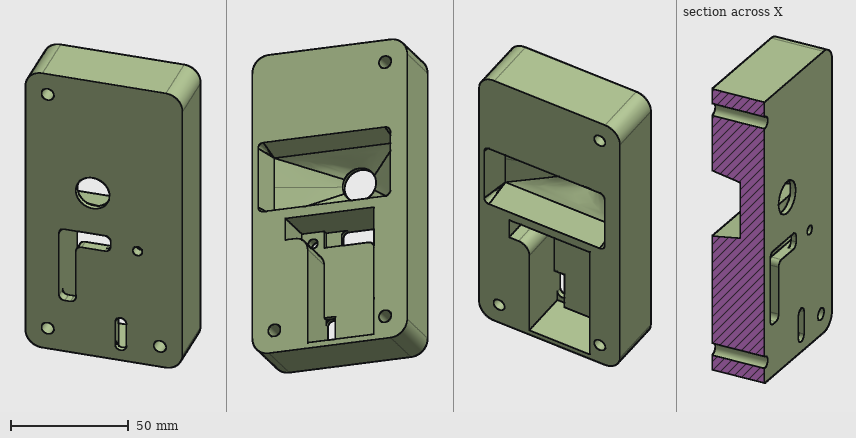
import cadquery as cq

WIDTH = 70.0
DEPTH = 25.4
HEIGHT = 135.0
CORNER_RADIUS = 7.5
FRONT_Y = -DEPTH / 2
BACK_Y = DEPTH / 2

SCREW_DIAMETER = 5.5
SCREW_X = 25.0
SCREW_Z = 57.5
PIN_DIAMETER = 4.2
PIN_CENTRE = (15.0, -12.5)

LIP_DEPTH = 2.5
LIP_BACK_Y = FRONT_Y + LIP_DEPTH

WINDOW_DIAMETER = 15.0
WINDOW_X = -5.0
WINDOW_Z = 12.5
FLARE_END_Y = FRONT_Y + 12.0
FLARE_WIDTH = 55.0
FLARE_CENTRE_X = 2.5
FLARE_HEIGHT = 26.5
FLARE_DRAFT = 10.0

L_LEFT = -20.0
L_TOP = -7.5
L_ARM_LENGTH = 23.0
L_LEG_LENGTH = 35.0
L_ARM_WIDTH = 7.5
L_CORNER_RADIUS = 2.5

SLOT_X = 7.5
SLOT_Z = -54.6
SLOT_WIDTH = 5.0
SLOT_LENGTH = 15.8

PLATE_THICKNESS = 5.0
POCKET_RIGHT = SLOT_X + SLOT_WIDTH / 2
POCKET_FLOOR = -65.0
UPPER_RIGHT = 20.0
LEDGE_Z = -17.2
LEDGE_RADIUS = 5.5


def plane_at(y, x=0.0, z=0.0):
    """Sketch plane at depth y with local axes +X and +Z; negative extrusions run toward +Y."""
    return cq.Workplane("XZ", origin=(x, y, z))


def to_back(sketch, start_y):
    """Extrude a closed sketch from start_y through the back face."""
    return sketch.extrude(start_y - BACK_Y)


def make_block():
    block = cq.Workplane("XY").box(WIDTH, DEPTH, HEIGHT)
    return block.edges("|Y").fillet(CORNER_RADIUS)


def round_holes():
    screw_centres = [(-SCREW_X, SCREW_Z), (-SCREW_X, -SCREW_Z), (SCREW_X, -SCREW_Z)]
    screws = to_back(plane_at(FRONT_Y).pushPoints(screw_centres).circle(SCREW_DIAMETER / 2), FRONT_Y)
    pin = to_back(plane_at(FRONT_Y).pushPoints([PIN_CENTRE]).circle(PIN_DIAMETER / 2), FRONT_Y)
    return screws.union(pin)


def window():
    centre = plane_at(FRONT_Y, WINDOW_X, WINDOW_Z)
    bore = to_back(centre.circle(WINDOW_DIAMETER / 2), FRONT_Y)
    flare = (
        plane_at(LIP_BACK_Y, WINDOW_X, WINDOW_Z)
        .circle(WINDOW_DIAMETER / 2)
        .workplane(offset=LIP_BACK_Y - FLARE_END_Y)
        .center(FLARE_CENTRE_X - WINDOW_X, 0)
        .rect(FLARE_WIDTH, FLARE_HEIGHT)
        .loft(ruled=True)
    )
    drafted = (
        plane_at(FLARE_END_Y, FLARE_CENTRE_X, WINDOW_Z)
        .rect(FLARE_WIDTH, FLARE_HEIGHT)
        .extrude(FLARE_END_Y - BACK_Y, taper=-FLARE_DRAFT)
    )
    return bore.union(flare).union(drafted)


def l_opening():
    arm_bottom = L_TOP - L_ARM_WIDTH
    leg_right = L_LEFT + L_ARM_WIDTH
    leg_bottom = L_TOP - L_LEG_LENGTH
    arm_right = L_LEFT + L_ARM_LENGTH
    outline = plane_at(FRONT_Y).polyline([
        (L_LEFT, L_TOP),
        (arm_right, L_TOP),
        (arm_right, arm_bottom),
        (leg_right, arm_bottom),
        (leg_right, leg_bottom),
        (L_LEFT, leg_bottom),
    ]).close()
    through = to_back(outline, FRONT_Y).edges("|Y").fillet(L_CORNER_RADIUS)

    recess_left = arm_right - L_ARM_WIDTH
    recess_length = POCKET_RIGHT - recess_left
    recess_x = (recess_left + POCKET_RIGHT) / 2
    recess_z = L_TOP - L_ARM_WIDTH / 2
    recess = to_back(plane_at(LIP_BACK_Y, recess_x, recess_z).rect(recess_length, L_ARM_WIDTH), LIP_BACK_Y)
    return through.union(recess)


def slot():
    through = to_back(plane_at(FRONT_Y, SLOT_X, SLOT_Z).slot2D(SLOT_LENGTH, SLOT_WIDTH, 90), FRONT_Y)
    recess_top = SLOT_Z + SLOT_LENGTH / 2
    recess_height = recess_top - POCKET_FLOOR
    recess_z = (recess_top + POCKET_FLOOR) / 2
    recess = to_back(plane_at(LIP_BACK_Y, SLOT_X, recess_z).rect(SLOT_WIDTH, recess_height), LIP_BACK_Y)
    return through.union(recess)


def stepped_pocket():
    start_y = FRONT_Y + PLATE_THICKNESS
    outline = (
        plane_at(start_y)
        .moveTo(L_LEFT, L_TOP)
        .lineTo(UPPER_RIGHT, L_TOP)
        .lineTo(UPPER_RIGHT, LEDGE_Z)
        .lineTo(POCKET_RIGHT + LEDGE_RADIUS, LEDGE_Z)
        .radiusArc((POCKET_RIGHT, LEDGE_Z - LEDGE_RADIUS), -LEDGE_RADIUS)
        .lineTo(POCKET_RIGHT, POCKET_FLOOR)
        .lineTo(L_LEFT, POCKET_FLOOR)
        .close()
    )
    return to_back(outline, start_y)


result = make_block()
for opening in (round_holes(), window(), l_opening(), slot(), stepped_pocket()):
    result = result.cut(opening)